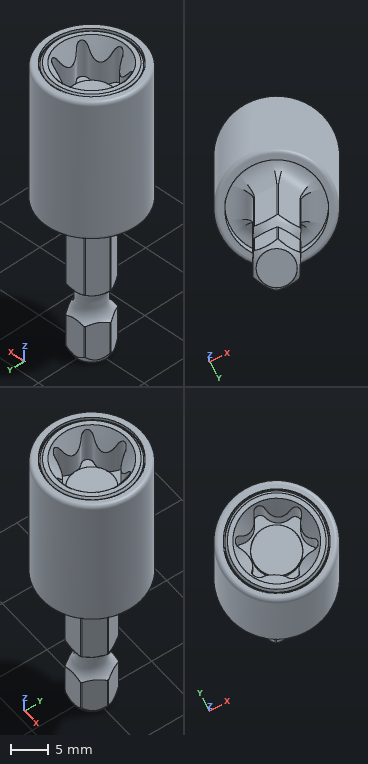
import cadquery as cq
import math

total_height = 50.0
sleeve_length = 24.0
sleeve_bottom = total_height - sleeve_length

sleeve_radius = 16.9 / 2
sleeve_edge_fillet = 0.65
bore_radius = 6.95

counterbore_depth = 0.5
seat_width = 0.2
seat_height = 0.5
counterbore_radius = bore_radius + seat_width

hex_across_flats = 6.35
hex_corner_radius = hex_across_flats / 2 / math.cos(math.pi / 6)
hex_corner_chamfer = 0.12
tip_radius = 2.75
tip_half_angle = math.radians(30)

groove_radius = 2.39
groove_bottom = 9.04
groove_top = 10.09
groove_flank_radius = 2.6

flare_start = 25.0
flare_radius = 3.0
head_bottom = flare_start + flare_radius
head_chamfer = 0.35

lobe_count = 6
lobe_tip_radius = 5.53
lobe_valley_radius = 3.95
lobe_tip_arc = 0.88
recess_depth = 6.9
recess_floor = total_height - recess_depth

mouth_radius = 5.87
mouth_depth = 3.1

magnet_radius = 3.5
magnet_thickness = 0.9


def polar(radius, angle):
    return radius * math.cos(angle), radius * math.sin(angle)


def make_sleeve():
    """Tube with rounded outer rims and a counterbored mouth that tapers down to the bore."""
    profile = (
        cq.Workplane("XZ")
        .moveTo(bore_radius, sleeve_bottom)
        .lineTo(sleeve_radius, sleeve_bottom)
        .lineTo(sleeve_radius, total_height)
        .lineTo(counterbore_radius, total_height)
        .lineTo(counterbore_radius, total_height - counterbore_depth)
        .lineTo(bore_radius, total_height - counterbore_depth - seat_height)
        .close()
    )
    tube = profile.revolve(360, (0, 0), (0, 1))
    outer_rims = cq.selectors.RadiusNthSelector(-1)
    return tube.edges("%CIRCLE").edges(outer_rims).fillet(sleeve_edge_fillet).solids()


def make_blank():
    """Hex bar flared out into the round head."""
    bar = cq.Workplane("XY").polygon(6, 2 * hex_corner_radius).extrude(head_bottom)
    bar = bar.edges("|Z").chamfer(hex_corner_chamfer)
    head = cq.Workplane("XY").workplane(offset=head_bottom).circle(bore_radius)
    head = head.extrude(total_height - head_bottom).faces(">Z").chamfer(head_chamfer)
    joint_band = 0.1
    joint = cq.selectors.BoxSelector(
        (-bore_radius, -bore_radius, head_bottom - joint_band),
        (bore_radius, bore_radius, head_bottom + joint_band),
    )
    return bar.union(head).edges(joint).edges("%LINE").fillet(flare_radius)


def make_groove_cutter():
    """Ring with a short straight floor and arc flanks that run out past the hex corners."""
    flank_rise = hex_corner_radius - groove_radius
    flank_run = math.sqrt(flank_rise * (2 * groove_flank_radius - flank_rise))
    profile = (
        cq.Workplane("XZ")
        .moveTo(hex_corner_radius, groove_bottom - flank_run)
        .radiusArc((groove_radius, groove_bottom), groove_flank_radius)
        .lineTo(groove_radius, groove_top)
        .radiusArc((hex_corner_radius, groove_top + flank_run), groove_flank_radius)
        .close()
    )
    return profile.revolve(360, (0, 0), (0, 1))


def make_tip_cutter():
    """Ring that tapers the corners at the shank tip."""
    taper_height = (hex_corner_radius - tip_radius) / math.tan(tip_half_angle)
    profile = (
        cq.Workplane("XZ")
        .moveTo(tip_radius, 0)
        .lineTo(hex_corner_radius, taper_height)
        .lineTo(hex_corner_radius, 0)
        .close()
    )
    return profile.revolve(360, (0, 0), (0, 1))


def make_recess_cutter():
    """Star-shaped prism: convex arcs at the lobe tips, tangent to concave valley arcs between them."""
    half_pitch = math.pi / lobe_count
    tip_centre = lobe_tip_radius - lobe_tip_arc
    cosine = math.cos(half_pitch)
    valley_arc = (
        tip_centre**2 + lobe_valley_radius**2 - 2 * tip_centre * lobe_valley_radius * cosine - lobe_tip_arc**2
    ) / (2 * (lobe_tip_arc + tip_centre * cosine - lobe_valley_radius))
    valley_centre = lobe_valley_radius + valley_arc
    blend = lobe_tip_arc / (lobe_tip_arc + valley_arc)
    valley_x, valley_y = polar(valley_centre, half_pitch)
    tangent_x = tip_centre + blend * (valley_x - tip_centre)
    tangent_y = blend * valley_y
    tangent_radius = math.hypot(tangent_x, tangent_y)
    tangent_angle = math.atan2(tangent_y, tangent_x)

    first_lobe = math.pi / 2
    outline = cq.Workplane("XY").workplane(offset=recess_floor)
    outline = outline.moveTo(*polar(tangent_radius, first_lobe - tangent_angle))
    for index in range(lobe_count):
        lobe = first_lobe + index * 2 * half_pitch
        lobe_end = polar(tangent_radius, lobe + tangent_angle)
        next_lobe_start = polar(tangent_radius, lobe + 2 * half_pitch - tangent_angle)
        outline = outline.threePointArc(polar(lobe_tip_radius, lobe), lobe_end)
        outline = outline.threePointArc(polar(lobe_valley_radius, lobe + half_pitch), next_lobe_start)
    return outline.close().extrude(recess_depth)


def make_mouth_cutter():
    """Conical lead-in that narrows from the mouth down to the recess valleys."""
    profile = (
        cq.Workplane("XZ")
        .moveTo(0, total_height)
        .lineTo(mouth_radius, total_height)
        .lineTo(lobe_valley_radius, total_height - mouth_depth)
        .lineTo(0, total_height - mouth_depth)
        .close()
    )
    return profile.revolve(360, (0, 0), (0, 1))


def make_socket():
    socket = make_blank().cut(make_groove_cutter()).cut(make_tip_cutter())
    return socket.cut(make_recess_cutter()).cut(make_mouth_cutter()).solids()


def make_magnet():
    return cq.Workplane("XY").workplane(offset=recess_floor).circle(magnet_radius).extrude(magnet_thickness)


sleeve = make_sleeve()
socket = make_socket()
magnet = make_magnet()
result = cq.Compound.makeCompound([sleeve.val(), socket.val(), magnet.val()])